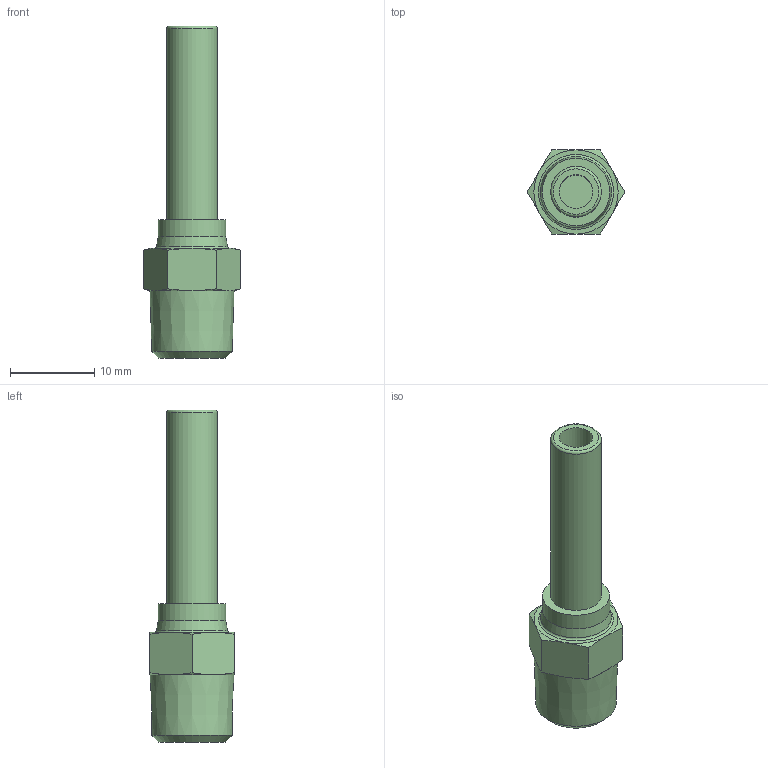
import cadquery as cq
import math

THREAD_LENGTH = 8.0
HEX_HEIGHT = 5.0
NECK_HEIGHT = 1.4
COLLAR_HEIGHT = 2.0
TOTAL_HEIGHT = 39.4
THREAD_TOP = THREAD_LENGTH
HEX_TOP = THREAD_TOP + HEX_HEIGHT
NECK_TOP = HEX_TOP + NECK_HEIGHT
COLLAR_TOP = NECK_TOP + COLLAR_HEIGHT

THREAD_GAUGE_RADIUS = 4.864
THREAD_GAUGE_LEVEL = 4.0
THREAD_TAPER = 1 / 32
LEAD_IN_HEIGHT = 0.8
LEAD_IN_RADIUS = 4.0
THREAD_END_RADIUS = THREAD_GAUGE_RADIUS + THREAD_TAPER * (LEAD_IN_HEIGHT - THREAD_GAUGE_LEVEL)
THREAD_TOP_RADIUS = THREAD_GAUGE_RADIUS + THREAD_TAPER * (THREAD_TOP - THREAD_GAUGE_LEVEL)

HEX_ACROSS_FLATS = 10.0
HEX_SIDES = 6
HEX_ACROSS_CORNERS = HEX_ACROSS_FLATS / math.cos(math.pi / HEX_SIDES)
HEX_CHAMFER_ANGLE = 15.0

COLLAR_RADIUS = 4.0
NECK_ROOT_RADIUS = 4.2
NECK_FILLET = 0.25
TUBE_RADIUS = 3.0
TUBE_LENGTH = TOTAL_HEIGHT - COLLAR_TOP
TUBE_END_ROUND = 0.3
BORE_RADIUS = 2.0
BORE_DEPTH = TUBE_LENGTH


def revolve_about_z(outline):
    """Turn a closed outline, drawn as (radius, height), about the Z axis."""
    return outline.revolve(360, (0, 0), (0, 1))


def make_thread():
    profile = [
        (0, 0),
        (LEAD_IN_RADIUS, 0),
        (THREAD_END_RADIUS, LEAD_IN_HEIGHT),
        (THREAD_TOP_RADIUS, THREAD_TOP),
        (0, THREAD_TOP),
    ]
    return revolve_about_z(cq.Workplane("XZ").polyline(profile).close())


def make_hexagon():
    """Hexagon with corners on the X axis, trimmed by a cone at each end."""
    hexagon = (
        cq.Workplane("XY")
        .workplane(offset=THREAD_TOP)
        .polygon(HEX_SIDES, HEX_ACROSS_CORNERS)
        .extrude(HEX_HEIGHT)
    )
    inner = HEX_ACROSS_FLATS / 2
    outer = HEX_ACROSS_CORNERS
    drop = (outer - inner) * math.tan(math.radians(HEX_CHAMFER_ANGLE))
    profile = [
        (0, THREAD_TOP),
        (inner, THREAD_TOP),
        (outer, THREAD_TOP + drop),
        (outer, HEX_TOP - drop),
        (inner, HEX_TOP),
        (0, HEX_TOP),
    ]
    trimmer = revolve_about_z(cq.Workplane("XZ").polyline(profile).close())
    return hexagon.intersect(trimmer)


def make_neck_and_collar():
    fillet_top = HEX_TOP + NECK_FILLET
    fillet_outer_radius = NECK_ROOT_RADIUS + NECK_FILLET
    offset_to_arc = NECK_FILLET * (1 - math.sqrt(0.5))
    outline = (
        cq.Workplane("XZ")
        .moveTo(0, HEX_TOP)
        .lineTo(fillet_outer_radius, HEX_TOP)
        .threePointArc(
            (NECK_ROOT_RADIUS + offset_to_arc, HEX_TOP + offset_to_arc),
            (NECK_ROOT_RADIUS, fillet_top),
        )
        .lineTo(COLLAR_RADIUS, NECK_TOP)
        .lineTo(COLLAR_RADIUS, COLLAR_TOP)
        .lineTo(0, COLLAR_TOP)
        .close()
    )
    return revolve_about_z(outline)


def make_tube():
    return (
        cq.Workplane("XY")
        .workplane(offset=COLLAR_TOP)
        .circle(TUBE_RADIUS)
        .extrude(TUBE_LENGTH)
        .faces(">Z")
        .edges()
        .fillet(TUBE_END_ROUND)
    )


def make_bore():
    return (
        cq.Workplane("XY")
        .workplane(offset=TOTAL_HEIGHT)
        .circle(BORE_RADIUS)
        .extrude(-BORE_DEPTH)
    )


body = make_thread().union(make_hexagon()).union(make_neck_and_collar()).union(make_tube())
result = body.cut(make_bore())